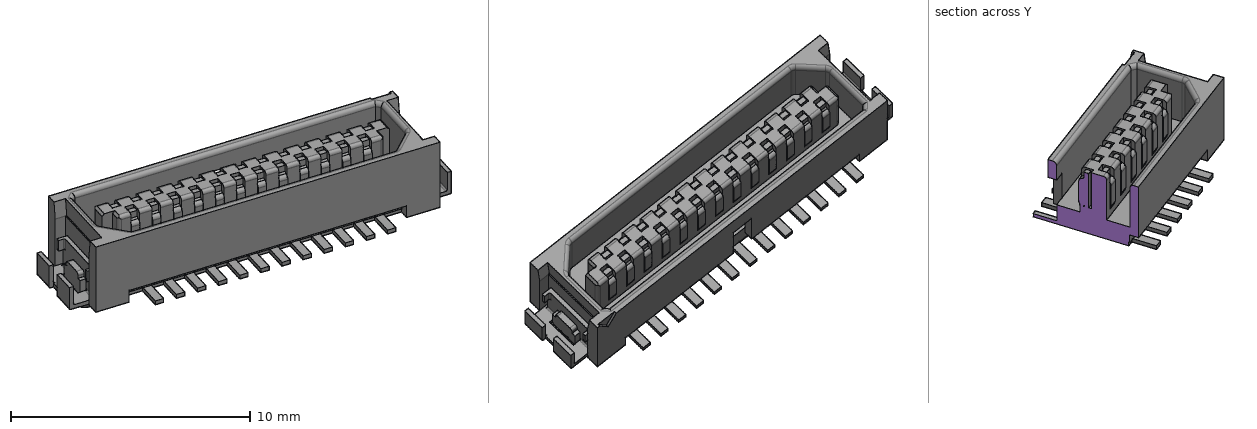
import cadquery as cq

overall_length = 18.1
overall_height = 4.3
lead_span = 5.6
body_width = 4.22
body_length = 16.3
body_height = 3.33
half_body = body_length / 2
eps = 0.009

left_row_span = 12.0
left_contact_count = 13
right_contact_count = left_contact_count - 1
pitch = left_row_span / (left_contact_count - 1)
contact_width = 0.4
metal_thickness = 0.2

cavity_floor = 1.05
cavity_width = 3.4
cavity_length = 14.59
cavity_key_chamfer = 1.03
cavity_corner_chamfer = 0.18
cavity_corner_radius = 0.24
rim_radius = 0.2
side_wall = (body_width - cavity_width) / 2

island_half_width = 0.63
island_overlap = 0.13
island_top = body_height
left_island_length = 13.61
right_island_length = 12.62
island_edge_radius = 0.16
island_end_chamfer = 0.1
island_corner_radius = 0.16

groove_inner = 0.09
groove_bottom = 1.41
contact_back = 0.2
contact_tip_face = 0.43
contact_front_face = 0.69
contact_top = 3.24
contact_shoulder = 2.93
shoulder_radius = 0.18
shoulder_drop = 0.07
contact_end_taper = 0.16

relief_length = 13.14
relief_height = 0.6
ledge_depth = 0.05
window_width = 1.03
window_top = 2.35

mark_width = 0.92
mark_height = 0.62
mark_depth = 0.1
mark_offset = 0.6

recess_width = 3.0
recess_mouth_width = 3.22
recess_depth = 0.49
recess_top_depth = 0.55
recess_step_height = 2.53

clip_width = 2.88
plate_width = 2.68
plate_height = 1.63
hook_height = 0.55
hook_thickness = 0.15
hook_bend = 0.07
tab_height = 1.14
tab_gap = 0.7
clip_bend = 0.07
clip_slot_width = 1.48
clip_slot_overhang = 0.13

nub_width = 1.41
nub_shelf = 0.76
nub_top_width = 1.05
nub_top = 1.03
nub_radius = 0.135

peg_radius_x = 0.65
peg_radius_y = 0.6
peg_tip_radius = 0.4
peg_length = overall_height - body_height
peg_taper = 0.4
peg_offset = half_body - peg_radius_y


def box(x0, x1, y0, y1, z0, z1):
    """Box between two opposite corners."""
    return cq.Workplane("XY").box(x1 - x0, y1 - y0, z1 - z0, centered=False).translate((x0, y0, z0))


def prism_along_y(points, y0, y1):
    """Closed XZ outline extruded from y0 to y1."""
    return cq.Workplane("XZ", origin=(0, y0, 0)).polyline(points).close().extrude(y0 - y1)


def prism_along_x(points, x0, x1):
    """Closed YZ outline extruded from x0 to x1."""
    return cq.Workplane("YZ", origin=(x0, 0, 0)).polyline(points).close().extrude(x1 - x0)


def both_ends(shape):
    """The shape together with its mirror image at the other end."""
    return shape.union(shape.mirror("XZ"))


def row_positions(count):
    """Y positions of one centred row of contacts."""
    return [(i - (count - 1) / 2) * pitch for i in range(count)]


def housing_block():
    """Outer block hollowed by the keyed cavity with a rounded rim."""
    block = box(-body_width / 2, body_width / 2, -half_body, half_body, 0, body_height)
    x = cavity_width / 2
    y = cavity_length / 2
    key = cavity_key_chamfer
    corner = cavity_corner_chamfer
    outline = [
        (-x, -y + corner), (-x + corner, -y), (x - key, -y), (x, -y + key),
        (x, y - key), (x - key, y), (-x + corner, y), (-x, y - corner),
    ]
    cavity = (
        cq.Workplane("XY", origin=(0, 0, cavity_floor))
        .polyline(outline).close()
        .extrude(body_height - cavity_floor)
    )
    rim = cq.selectors.BoxSelector(
        (-x - eps, -y - eps, body_height - eps), (x + eps, y + eps, body_height + eps)
    )
    cavity = cavity.edges("|Z and >X").fillet(cavity_corner_radius)
    key_ends = cq.selectors.BoxSelector((x - key - eps, -y - eps, 0), (x - key + eps, y + eps, body_height))
    cavity = cavity.edges("|Z").edges(key_ends).fillet(cavity_corner_radius)
    return block.cut(cavity).edges(rim).fillet(rim_radius)


def wall_reliefs():
    """Lead relief and ledge in both long walls, inspection window in the left wall only."""
    outer = -body_width / 2
    inner = outer + side_wall
    half_relief = relief_length / 2
    relief = box(outer, inner, -half_relief, half_relief, 0, relief_height)
    ledge = box(outer, inner + ledge_depth, -half_relief, half_relief, 0, metal_thickness)
    window = box(outer, inner, -window_width / 2, window_width / 2, 0, window_top)
    left = relief.union(ledge)
    return left.union(left.mirror("YZ")).union(window)


def polarity_mark():
    """Triangular mark at the top of the left wall."""
    centre = half_body - mark_offset
    triangle = [
        (centre - mark_width / 2, body_height),
        (centre + mark_width / 2, body_height),
        (centre, body_height - mark_height),
    ]
    return prism_along_x(triangle, -body_width / 2, -body_width / 2 + mark_depth)


def end_recess():
    """Open recess in the -Y end wall: sides flared and back stepped deeper near the top."""
    low = recess_width / 2
    high = recess_mouth_width / 2
    front_outline = [
        (-low, 0), (low, 0), (low, recess_step_height), (high, body_height),
        (-high, body_height), (-low, recess_step_height),
    ]
    side_outline = [
        (-half_body, 0), (-half_body + recess_depth, 0),
        (-half_body + recess_depth, recess_step_height),
        (-half_body + recess_top_depth, recess_step_height),
        (-half_body + recess_top_depth, body_height), (-half_body, body_height),
    ]
    across = prism_along_y(front_outline, -half_body, -half_body + recess_top_depth)
    return across.intersect(prism_along_x(side_outline, -high, high))


def island_half(length):
    """Left half of the island: rounded long edge, chamfered ends."""
    half = length / 2
    chamfer = island_end_chamfer
    bar = (
        box(-island_half_width, island_overlap, -half, half, 0, island_top)
        .edges("|Z and <X").fillet(island_corner_radius)
    )
    ends = prism_along_x(
        [
            (-half, cavity_floor), (half, cavity_floor), (half, island_top - chamfer),
            (half - chamfer, island_top), (chamfer - half, island_top), (-half, island_top - chamfer),
        ],
        -island_half_width, island_overlap,
    )
    rounded = (
        box(-island_half_width, island_overlap, -half, half, cavity_floor, island_top)
        .edges(">Z and <X").fillet(island_edge_radius)
    )
    return bar.intersect(ends).intersect(rounded)


def groove(y):
    """Slot in the left island face for one contact."""
    half = contact_width / 2
    return box(-island_half_width, -groove_inner, y - half, y + half, groove_bottom, island_top)


def contact(y):
    """One left contact: thin tip, rounded shoulder standing proud of the island, and solder lead."""
    round_start_x = -contact_front_face + shoulder_radius
    round_start_z = contact_shoulder - shoulder_drop
    blade = (
        cq.Workplane("XZ", origin=(0, y + contact_width / 2, 0))
        .moveTo(-contact_back, groove_bottom)
        .lineTo(-contact_back, contact_top)
        .lineTo(-contact_tip_face, contact_top)
        .lineTo(-contact_tip_face, contact_shoulder)
        .lineTo(round_start_x, round_start_z)
        .radiusArc((-contact_front_face, round_start_z - shoulder_radius), -shoulder_radius)
        .lineTo(-contact_front_face, groove_bottom + contact_end_taper)
        .lineTo(-island_half_width, groove_bottom)
        .close()
        .extrude(contact_width)
    )
    lead = box(
        -lead_span / 2, -cavity_width / 2 + 2 * ledge_depth,
        y - contact_width / 2, y + contact_width / 2, 0, metal_thickness,
    )
    return blade.union(lead)


def left_row(feature, count):
    """One left-hand feature repeated at every contact position of a row."""
    row = cq.Workplane("XY")
    for y in row_positions(count):
        row = row.add(feature(y))
    return row.combine()


def both_rows(feature):
    """A left-hand feature along the left row and, mirrored, along the staggered right row."""
    left = left_row(feature, left_contact_count)
    right = left_row(feature, right_contact_count).mirror("YZ")
    return left.union(right)


def end_clip():
    """Bent solder clip at the -Y end: foot, two tabs, upright plate and two hooks."""
    tip = -overall_length / 2
    back = -half_body + recess_depth
    plate_front = back - metal_thickness
    half = clip_width / 2
    bent_strip = prism_along_x(
        [
            (tip, 0), (back, 0), (back, plate_height), (plate_front, plate_height),
            (plate_front, metal_thickness), (tip + metal_thickness, metal_thickness),
            (tip + metal_thickness, tab_height), (tip, tab_height),
        ],
        -half, half,
    )
    inner_bends = cq.selectors.BoxSelector(
        (-half, tip, metal_thickness - eps), (half, back, metal_thickness + eps)
    )
    bent_strip = bent_strip.edges("|X").edges(inner_bends).fillet(clip_bend)
    bent_strip = bent_strip.edges("|X and <Y and <Z").fillet(clip_bend)

    half_plate = plate_width / 2
    bend_top = metal_thickness + clip_bend
    tab_inside = tip + metal_thickness
    gap = box(-tab_gap / 2, tab_gap / 2, tip, tab_inside, 0, tab_height)
    gap_bend = box(-tab_gap / 2, tab_gap / 2, tip, tab_inside + clip_bend, metal_thickness, bend_top)
    slot_front = -half_body - clip_slot_overhang
    slot = box(-clip_slot_width / 2, clip_slot_width / 2, slot_front, plate_front, 0, bend_top)
    shoulder = box(half_plate, half, -half_body, back, metal_thickness, plate_height)
    strip = bent_strip.cut(gap).cut(gap_bend).cut(slot).cut(shoulder).cut(shoulder.mirror("YZ"))

    hook_bottom = plate_height - hook_height
    hooks = box(-half_plate, half_plate, -half_body, back, hook_bottom, plate_height)
    hooks = hooks.edges("|Z and >Y").fillet(hook_bend)
    inside = half_plate - hook_thickness
    opening = box(-inside, inside, -half_body, plate_front, hook_bottom, plate_height)
    hooks = hooks.cut(opening.edges("|Z and >Y").fillet(hook_bend))
    return strip.union(hooks)


def end_nub():
    """Stepped nub of the body that fills the clip slot at the -Y end."""
    y1 = -half_body + recess_depth
    shelf = box(-nub_width / 2, nub_width / 2, -half_body, y1, 0, nub_shelf)
    crown = box(-nub_top_width / 2, nub_top_width / 2, -half_body, y1, 0, nub_top)
    return shelf.union(crown.edges("|Y and >Z").fillet(nub_radius))


def end_peg():
    """Slightly oval locating peg with a round tapered tip, under the -Y end."""
    root = cq.Workplane("XY", origin=(0, -peg_offset, 0))
    shank = root.ellipse(peg_radius_x, peg_radius_y).extrude(peg_taper - peg_length)
    tip = (
        root.workplane(offset=peg_taper - peg_length).ellipse(peg_radius_x, peg_radius_y)
        .workplane(offset=-peg_taper).circle(peg_tip_radius)
        .loft()
    )
    return shank.union(tip)


housing = housing_block().cut(wall_reliefs()).cut(polarity_mark()).cut(both_ends(end_recess()))
island = island_half(left_island_length).union(island_half(right_island_length).mirror("YZ"))
island = island.cut(both_rows(groove))
end_hardware = both_ends(end_clip().union(end_nub()).union(end_peg()))

result = housing.union(island).union(both_rows(contact)).union(end_hardware)